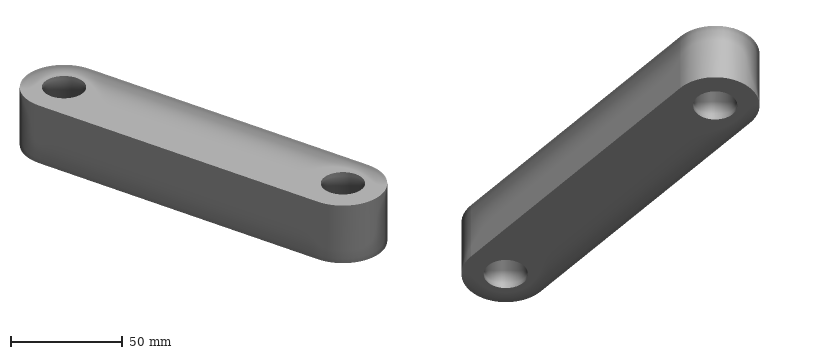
import cadquery as cq

length = 192.0
width = 40.0
thickness = 30.0
hole_diameter = width / 2

hole_spacing = length - width

bar = cq.Workplane("XY").slot2D(length, width).extrude(thickness)

result = (
    bar.faces(">Z")
    .workplane()
    .pushPoints([(-hole_spacing / 2, 0), (hole_spacing / 2, 0)])
    .hole(hole_diameter)
)